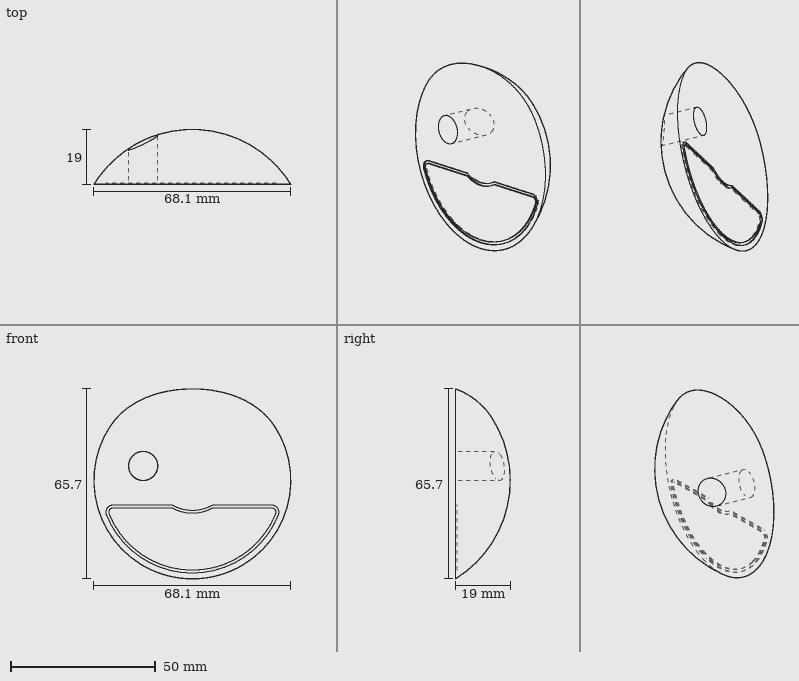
import cadquery as cq
import math

sphere_radius = 40.0
dome_height = 19.0
centre_depth = sphere_radius - dome_height

top_plane_distance = 30.0
top_fillet_radius = 25.0
top_tilt = 13.3

hole_diameter = 10.0
hole_x = -17.0
hole_z = 5.0

groove_width = 1.0
groove_depth = 0.5
groove_radius = 32.0
groove_top_z = -8.5
groove_corner_radius = 2.5
dip_half_width = 7.0
dip_sag = 1.85


def make_dome():
    """Revolve the filleted sphere profile about its tilted axis and keep the part beyond the base."""
    tube_axial = top_plane_distance - top_fillet_radius
    tube_centre_distance = sphere_radius - top_fillet_radius
    tube_radial = math.sqrt(tube_centre_distance**2 - tube_axial**2)
    tangent_angle = math.atan2(tube_axial, tube_radial)
    fillet_mid_angle = (tangent_angle + math.pi / 2) / 2

    fillet_mid = (
        tube_radial + top_fillet_radius * math.cos(fillet_mid_angle),
        tube_axial + top_fillet_radius * math.sin(fillet_mid_angle),
    )
    tangent_point = (
        sphere_radius * math.cos(tangent_angle),
        sphere_radius * math.sin(tangent_angle),
    )
    sphere_mid_angle = (tangent_angle - math.pi / 2) / 2
    sphere_mid = (
        sphere_radius * math.cos(sphere_mid_angle),
        sphere_radius * math.sin(sphere_mid_angle),
    )
    ball = (
        cq.Workplane("XZ")
        .moveTo(0, -sphere_radius)
        .threePointArc(sphere_mid, tangent_point)
        .threePointArc(fillet_mid, (tube_radial, top_plane_distance))
        .lineTo(0, top_plane_distance)
        .close()
        .revolve(360, (0, 0, 0), (0, 1, 0))
        .rotate((0, 0, 0), (1, 0, 0), top_tilt)
        .translate((0, -centre_depth, 0))
    )
    ball_diameter = 2 * sphere_radius
    beyond_base = cq.Workplane("XY").box(
        ball_diameter, ball_diameter, ball_diameter, centered=(True, False, True)
    )
    return ball.intersect(beyond_base)


def half_moon(inset):
    """Solid half-moon, inset from the groove's outer edge, as deep as the groove."""
    arc_radius = groove_radius - inset
    top_z = groove_top_z - inset
    corner_radius = groove_corner_radius - inset

    disc = cq.Workplane("XZ").circle(arc_radius).extrude(-groove_depth)
    lower_half = (
        cq.Workplane("XZ")
        .center(0, top_z - arc_radius)
        .rect(2 * arc_radius, 2 * arc_radius)
        .extrude(-groove_depth)
    )
    dip = (
        cq.Workplane("XZ")
        .moveTo(-dip_half_width, top_z)
        .threePointArc((0, top_z - dip_sag), (dip_half_width, top_z))
        .close()
        .extrude(-groove_depth)
    )
    return disc.intersect(lower_half).edges("|Y").fillet(corner_radius).cut(dip)


def make_hole():
    """Cylinder running through the full height of the dome."""
    return (
        cq.Workplane("XZ")
        .center(hole_x, hole_z)
        .circle(hole_diameter / 2)
        .extrude(-dome_height)
    )


groove = half_moon(0).cut(half_moon(groove_width))
result = make_dome().cut(make_hole()).cut(groove)